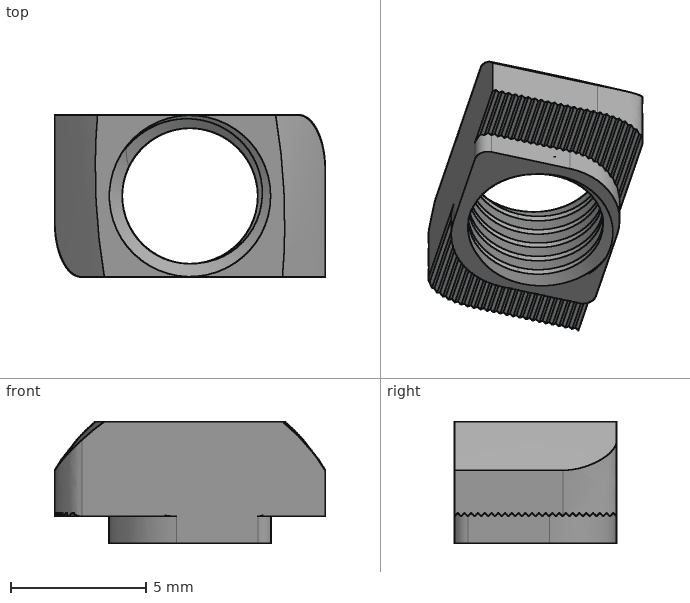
import math

import cadquery as cq

length = 10.0
width = 6.0
body_height = 3.5
half_length = length / 2
half_width = width / 2

corner_run_x = 1.0
corner_run_y = 2.0

shoulder_start_z = 1.7
shoulder_min_run = 1.5
shoulder_apex_y = 1.0
shoulder_edge_radius = 24.0
shoulder_bulge = 0.1
shoulder_section_count = 5

boss_size = width
boss_height = 1.0
boss_large_radius = 2.5
boss_small_radius = 0.5

serration_pitch = 0.25
serration_depth = serration_pitch / 2

thread_wall = 0.04
sink_wall = 0.02
bore_radius = 2.5
thread_radius = half_width - thread_wall
thread_pitch = 0.8
thread_half_angle = math.radians(30)
thread_top_angle = 148.0
groove_overlap = 0.1
runout_turns = 2
sink_radius = half_width - sink_wall
sink_depth = 0.25

overcut = 0.5


def half_turn(shape):
    """The same shape turned 180 degrees about the bore axis."""
    return shape.rotate((0, 0, 0), (0, 0, 1), 180)


def make_blank():
    """Body block with its two opposite elliptical corners."""
    cut_y = half_width - corner_run_y
    corner = (
        cq.Workplane("XY")
        .moveTo(-half_length, -cut_y)
        .ellipseArc(corner_run_x, corner_run_y, 180, 270, startAtCurrent=True)
        .lineTo(-half_length, -half_width)
        .close()
        .extrude(body_height)
    )
    blank = cq.Workplane("XY").box(length, width, body_height, centered=(True, True, False))
    return blank.cut(corner).cut(half_turn(corner))


def shoulder_section(y):
    """Closed XZ section, at one Y, of the material above the -X shoulder."""
    edge_offset = y - shoulder_apex_y
    sag = shoulder_edge_radius - math.sqrt(shoulder_edge_radius**2 - edge_offset**2)
    run = shoulder_min_run + sag
    rise = body_height - shoulder_start_z
    chord = math.hypot(run, rise)
    foot = cq.Vector(-half_length, y, shoulder_start_z)
    top = cq.Vector(-half_length + run, y, body_height)
    crown = (foot + top) * 0.5 + cq.Vector(-rise, 0, run) * (shoulder_bulge / chord)
    outer = cq.Vector(-half_length - overcut, y, body_height + overcut)
    outer_foot = cq.Vector(outer.x, y, shoulder_start_z)
    outer_top = cq.Vector(top.x, y, outer.z)
    return cq.Wire.assembleEdges([
        cq.Edge.makeThreePointArc(foot, crown, top),
        cq.Edge.makeLine(top, outer_top),
        cq.Edge.makeLine(outer_top, outer),
        cq.Edge.makeLine(outer, outer_foot),
        cq.Edge.makeLine(outer_foot, foot),
    ])


def cut_shoulders(body):
    """Slope both ends with shoulders lofted along Y past the side walls."""
    span = width + 2 * overcut
    step = span / (shoulder_section_count - 1)
    sections = [
        shoulder_section(-span / 2 + index * step)
        for index in range(shoulder_section_count)
    ]
    shoulder = cq.Workplane(cq.Solid.makeLoft(sections))
    return body.cut(shoulder).cut(half_turn(shoulder))


def cut_serrations(body):
    """Cut the whole seating face into a row of V-grooves."""
    count = round(width / serration_pitch)
    points = [(-half_width, -overcut)]
    for index in range(count):
        y = -half_width + index * serration_pitch
        points.append((y, 0))
        points.append((y + serration_pitch / 2, serration_depth))
    points.append((half_width, 0))
    points.append((half_width, -overcut))
    grooves = cq.Workplane("YZ").polyline(points).close().extrude(half_length + overcut, both=True)
    return body.cut(grooves)


def make_boss():
    """Boss reaching up past the serrations so that it is joined solidly to the body."""
    boss = cq.Workplane("XY", origin=(0, 0, -boss_height)).box(
        boss_size, boss_size, boss_height + 2 * serration_depth, centered=(True, True, False)
    )
    boss = boss.edges("(<X and <Y) or (>X and >Y)").edges("|Z").fillet(boss_large_radius)
    return boss.edges("(<X and >Y) or (>X and <Y)").edges("|Z").fillet(boss_small_radius)


def make_bore():
    """Plain bore with a conical countersink at the top face."""
    bottom_z = -boss_height - overcut
    return (
        cq.Workplane("XZ")
        .polyline([
            (0, bottom_z),
            (bore_radius, bottom_z),
            (bore_radius, body_height - sink_depth),
            (sink_radius, body_height),
            (sink_radius, body_height + overcut),
            (0, body_height + overcut),
        ])
        .close()
        .revolve(360, (0, 0), (0, 1))
    )


def make_thread_groove():
    """Helical V-groove running out through both ends of the bore."""
    turns = math.ceil((body_height + boss_height) / thread_pitch) + runout_turns
    helix_height = turns * thread_pitch
    base_z = body_height + thread_pitch - helix_height
    inner_radius = bore_radius - groove_overlap
    half_mouth = (thread_radius - inner_radius) * math.tan(thread_half_angle)

    def helix(radius, z):
        return cq.Wire.makeHelix(thread_pitch, helix_height, radius, center=cq.Vector(0, 0, z))

    lower = helix(inner_radius, base_z - half_mouth)
    root = helix(thread_radius, base_z)
    upper = helix(inner_radius, base_z + half_mouth)
    start_cap = cq.Wire.makePolygon([edge.startPoint() for edge in (lower, root, upper)], close=True)
    end_cap = cq.Wire.makePolygon([edge.endPoint() for edge in (lower, root, upper)], close=True)
    shell = cq.Shell.makeShell([
        cq.Face.makeRuledSurface(lower, root),
        cq.Face.makeRuledSurface(root, upper),
        cq.Face.makeRuledSurface(upper, lower),
        cq.Face.makeFromWires(start_cap),
        cq.Face.makeFromWires(end_cap),
    ])
    return cq.Workplane(cq.Solid.makeSolid(shell)).rotate((0, 0, 0), (0, 0, 1), thread_top_angle)


body = cut_serrations(cut_shoulders(make_blank()))
nut = body.union(make_boss())
result = nut.cut(make_thread_groove()).cut(make_bore()).solids()